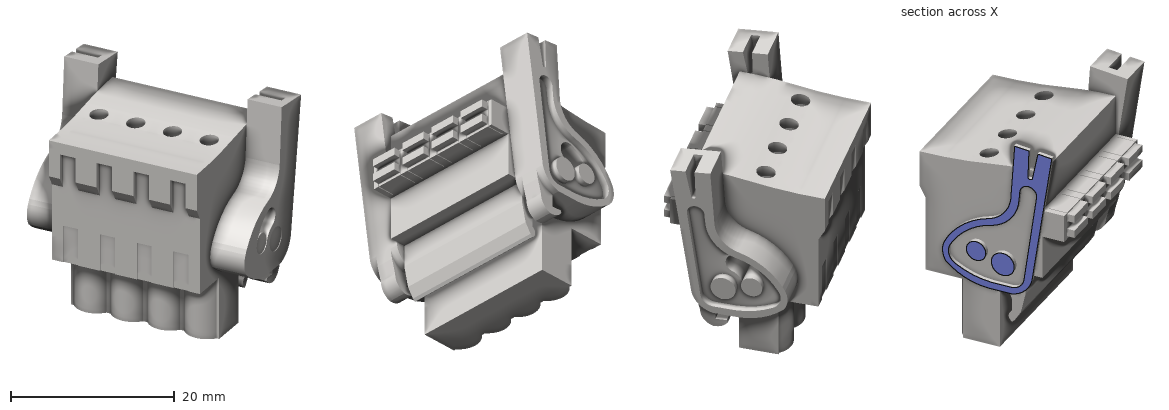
import cadquery as cq
import math


pole_count = 4
pole_pitch = 5.07
overall_width = 30.02
housing_width = 20.4
lever_gap = 0.1
lever_width = (overall_width - housing_width) / 2 - lever_gap
housing_left = -housing_width / 2
housing_right = housing_width / 2
pole_positions = [(i - (pole_count - 1) / 2) * pole_pitch for i in range(pole_count)]

body_bottom = 8.35
lip_top = 24.95
lip_bottom = 20.05
lip_depth = 0.8
lip_slope_bottom = 18.6
back_face = 16.72
back_bottom = 11.32
undercut_back = 14.4
crest_y = 9.9
front_rise = 0.78
back_rise = front_rise * (back_face - crest_y) / crest_y
front_arc_radius = (crest_y**2 + front_rise**2) / (2 * front_rise)
back_arc_radius = ((back_face - crest_y) ** 2 + back_rise**2) / (2 * back_rise)

lip_slot_width = 2.13
lip_slot_top = 23.4
relief_width = 2.05
relief_top = 13.33
relief_depth = 0.12
probe_hole_diameter = 2.37
probe_hole_y = 8.23
probe_hole_floor = 24.02

plug_back = 10.93
plug_flat_front = 5.88
plug_bulge = 1.08
plug_bulge_width = 4.5

catch_front = 12.22
catch_tip = (12.6, 4.02)

shelf_bottom = 17.17
shelf_top = 20.85
shelf_back = 19.65
pocket_width = 3.9
pocket_front = 17.2
pocket_offset = -0.12
actuator_width = 3.7
actuator_back = 20.65
prong_top = 20.68
prong_bottom = 17.53
driver_slot_top = 19.65
driver_slot_bottom = 18.58
driver_slot_fillet = 0.12

pivot_y = 11.6
pivot_z = 12.25
pivot_radius = 1.6
guide_radius = 1.35
guide_swing_radius = 3.75
guide_pin_angle = 165.3
guide_slot_end_angle = 112.4
pin_length = 4.7

recess_depth = 1.0
thumb_slot_depth = 3.63
thumb_slot_fillet = 0.2
foot_width = 2.5


def guide_point(angle, radius=guide_swing_radius):
    """Point in the YZ plane on a circle around the pivot."""
    turn = math.radians(angle)
    return pivot_y + radius * math.cos(turn), pivot_z + radius * math.sin(turn)


def block(x_center, width, y_min, y_max, z_min, z_max):
    return cq.Workplane("XY").box(width, y_max - y_min, z_max - z_min).translate(
        (x_center, (y_min + y_max) / 2, (z_min + z_max) / 2)
    )


def housing_body():
    outline = (
        cq.Workplane("YZ", origin=(housing_left, 0, 0))
        .moveTo(lip_depth, body_bottom)
        .lineTo(lip_depth, lip_slope_bottom)
        .lineTo(0, lip_bottom)
        .lineTo(0, lip_top)
        .radiusArc((crest_y, lip_top + front_rise), -front_arc_radius)
        .radiusArc((back_face, lip_top + front_rise + back_rise), back_arc_radius)
        .lineTo(back_face, back_bottom)
        .lineTo(undercut_back, back_bottom)
        .lineTo(undercut_back, body_bottom)
        .close()
    )
    return outline.extrude(housing_width)


def plug():
    """Block with one rounded column front per pole."""
    columns = block(0, housing_width, plug_flat_front, plug_back, 0, body_bottom)
    half_bulge = plug_bulge_width / 2
    for x in pole_positions:
        bulge = (
            cq.Workplane("XY")
            .moveTo(x - half_bulge, plug_back)
            .lineTo(x - half_bulge, plug_flat_front)
            .threePointArc((x, plug_flat_front - plug_bulge), (x + half_bulge, plug_flat_front))
            .lineTo(x + half_bulge, plug_back)
            .close()
            .extrude(body_bottom)
        )
        columns = columns.union(bulge)
    return columns


def housing_catch():
    """Rounded hook that hangs below the back of the body."""
    outline = (
        cq.Workplane("YZ", origin=(housing_left, 0, 0))
        .moveTo(catch_front, body_bottom)
        .lineTo(12.6, 7.05)
        .lineTo(12.6, 5.52)
        .threePointArc((12.13, 4.75), catch_tip)
        .lineTo(12.95, 4.32)
        .lineTo(13.78, 5.65)
        .lineTo(undercut_back, body_bottom)
        .close()
    )
    return outline.extrude(housing_width)


def pin(y, z, radius, side):
    """Pin that stands out from the left (side = -1) or right (side = 1) housing wall."""
    wall = side * housing_right
    return cq.Workplane("YZ", origin=(wall, y, z)).circle(radius).extrude(side * pin_length)


def build_housing():
    housing = housing_body().union(plug()).union(housing_catch())
    housing = housing.union(
        block(0, housing_width, back_face, shelf_back, shelf_bottom, shelf_top)
    )
    for x in pole_positions:
        lip_slot = block(x, lip_slot_width, 0, lip_depth, lip_slope_bottom, lip_slot_top)
        relief = block(x, relief_width, lip_depth, lip_depth + relief_depth, body_bottom, relief_top)
        pocket = block(x + pocket_offset, pocket_width, pocket_front, shelf_back, shelf_bottom, shelf_top)
        probe_hole = (
            cq.Workplane("XY", origin=(x, probe_hole_y, probe_hole_floor))
            .circle(probe_hole_diameter / 2)
            .extrude(lip_top + front_rise - probe_hole_floor)
        )
        housing = housing.cut(lip_slot).cut(relief).cut(pocket).cut(probe_hole)
    guide_y, guide_z = guide_point(guide_pin_angle)
    for side in (-1, 1):
        housing = housing.union(pin(pivot_y, pivot_z, pivot_radius, side))
        housing = housing.union(pin(guide_y, guide_z, guide_radius, side))
    return housing


def build_actuator(x):
    """Block in a shelf pocket, with two prongs either side of a screwdriver slot."""
    base = block(x, actuator_width, pocket_front, shelf_back, shelf_bottom, shelf_top)
    head = block(x, actuator_width, shelf_back, actuator_back, prong_bottom, prong_top)
    driver_slot = block(
        x, actuator_width, shelf_back, actuator_back, driver_slot_bottom, driver_slot_top
    )
    driver_slot = driver_slot.edges("|X and <Y").fillet(driver_slot_fillet)
    return base.union(head.cut(driver_slot))


def lever_plate():
    """Upright handle that swells into a rounded cam around the pivot."""
    outline = (
        cq.Workplane("YZ")
        .moveTo(18.28, 29.0)
        .lineTo(13.18, 29.5)
        .lineTo(12.65, 21.82)
        .threePointArc((11.6, 19.48), (9.55, 18.25))
        .threePointArc((6.48, 16.78), (4.0, 14.15))
        .lineTo(3.65, 13.55)
        .threePointArc((3.35, 12.15), (3.78, 10.78))
        .threePointArc((6.35, 9.07), (9.6, 8.35))
        .lineTo(12.85, 8.35)
        .threePointArc((14.62, 9.28), (15.58, 10.95))
        .close()
    )
    return outline.extrude(lever_width)


def lever_recess():
    """Pocket in the left face that follows the lever outline."""
    outline = (
        cq.Workplane("YZ")
        .moveTo(16.15, 22.95)
        .threePointArc((15.0, 24.17), (13.93, 22.95))
        .lineTo(13.8, 21.82)
        .threePointArc((12.58, 18.9), (9.9, 17.32))
        .threePointArc((6.87, 15.9), (4.62, 13.48))
        .threePointArc((4.23, 12.25), (5.2, 10.72))
        .threePointArc((7.6, 9.73), (10.1, 9.35))
        .lineTo(12.75, 9.35)
        .threePointArc((13.9, 9.8), (14.45, 10.8))
        .close()
    )
    return outline.extrude(recess_depth)


def thumb_slot():
    """Tapered slot that runs out through the top of the handle and its left face."""
    outline = (
        cq.Workplane("YZ")
        .moveTo(16.45, 29.72)
        .lineTo(15.55, 25.3)
        .lineTo(15.05, 25.3)
        .lineTo(15.2, 29.72)
        .close()
        .extrude(thumb_slot_depth)
    )
    return outline.edges("|X and <Z").fillet(thumb_slot_fillet)


def guide_slot():
    """Arc slot around the pivot, as wide as the guide pin."""
    middle_angle = (guide_pin_angle + guide_slot_end_angle) / 2
    outer = guide_swing_radius + guide_radius
    inner = guide_swing_radius - guide_radius
    band = (
        cq.Workplane("YZ")
        .moveTo(*guide_point(guide_pin_angle, outer))
        .threePointArc(guide_point(middle_angle, outer), guide_point(guide_slot_end_angle, outer))
        .lineTo(*guide_point(guide_slot_end_angle, inner))
        .threePointArc(guide_point(middle_angle, inner), guide_point(guide_pin_angle, inner))
        .close()
        .extrude(lever_width)
    )
    slot_ends = [guide_point(guide_pin_angle), guide_point(guide_slot_end_angle)]
    return band.union(
        cq.Workplane("YZ").pushPoints(slot_ends).circle(guide_radius).extrude(lever_width)
    )


def lever_foot():
    """Hook below the cam, centered across the lever width."""
    outline = (
        cq.Workplane("YZ", origin=((lever_width - foot_width) / 2, 0, 0))
        .moveTo(15.58, 10.95)
        .lineTo(15.35, 9.6)
        .lineTo(14.8, 7.65)
        .threePointArc((14.23, 6.18), (13.2, 5.52))
        .threePointArc((12.13, 5.7), (11.3, 6.4))
        .lineTo(11.4, 6.72)
        .lineTo(12.85, 6.65)
        .lineTo(12.85, 10.95)
        .close()
    )
    return outline.extrude(foot_width)


def build_lever(left_face):
    pivot_hole = (
        cq.Workplane("YZ", origin=(0, pivot_y, pivot_z)).circle(pivot_radius).extrude(lever_width)
    )
    lever = lever_plate().union(lever_foot()).cut(lever_recess()).cut(thumb_slot())
    lever = lever.cut(pivot_hole).cut(guide_slot())
    return lever.translate((left_face, 0, 0))


housing = build_housing()
actuators = [build_actuator(x + pocket_offset) for x in pole_positions]
levers = [build_lever(left_face) for left_face in (-overall_width / 2, housing_right + lever_gap)]

result = cq.Compound.makeCompound([housing.val(), *[body.val() for body in actuators + levers]])